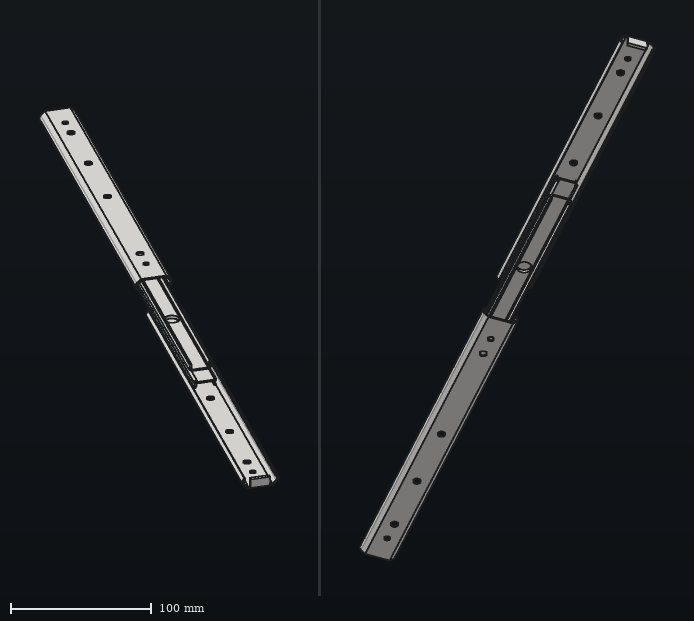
import cadquery as cq
import math


SLIDE_LENGTH = 527.5
SLIDE_WIDTH = 27.0
SLIDE_HEIGHT = 19.0
SHEET = 1.3

RAIL_LENGTH = 250.0
RAIL_WEB_HALF_WIDTH = 9.35
TRACK_Z = 4.1
CURL_RADIUS = 4.0
CURL_START_ANGLE = 35
CURL_END_ANGLE = -52

END_WALL = 2.5
END_WALL_WIDTH = 14.0
END_WALL_BOTTOM = 2.4

SMALL_HOLE = 4.0
LARGE_HOLE = 5.5
SMALL_HOLE_PLACES = [20.0, 230.0]
LARGE_HOLE_PLACES = [35.0, 80.0, 130.0, 214.5]

CHANNEL_SHORT_REACH = 107.0
CHANNEL_LONG_REACH = 120.0
TAB_REACH = 123.0
CHANNEL_WIDTH = 17.0
CHANNEL_WEB_HALF_WIDTH = 6.5
GROOVE_RADIUS = 3.05
GROOVE_WEB_SIDE_ANGLE = 45
GROOVE_BACK_ANGLE = 22
GROOVE_RIM_ANGLE = 37
ACCESS_HOLE = 10.5


def on_circle(center, radius, angle):
    """Point of a circle in the YZ plane, at an angle in degrees from +Y."""
    turn = math.radians(angle)
    return (center[0] + radius * math.cos(turn), center[1] + radius * math.sin(turn))


def mirrored(point):
    return (-point[0], point[1])


def sheet_section(web_edge, web_outer_z, web_inner_z, center, outer_arc, inner_arc):
    """Sheet section, symmetric in Y: a flat web, then on each side a slope and an arc.

    outer_arc and inner_arc give radius, first angle and last angle on the two
    sheet faces. They share a center and a last angle, where the sheet is cut square.
    """

    def arc_points(radius, first, last):
        return [on_circle(center, radius, angle) for angle in (first, (first + last) / 2, last)]

    outer_start, outer_middle, outer_end = arc_points(*outer_arc)
    inner_start, inner_middle, inner_end = arc_points(*inner_arc)

    slope = math.atan2(abs(outer_start[1] - web_outer_z), outer_start[0] - web_edge)
    inner_web_edge = web_edge - SHEET * math.tan(slope / 2)

    return (
        cq.Workplane("YZ")
        .moveTo(-web_edge, web_outer_z)
        .lineTo(web_edge, web_outer_z)
        .lineTo(*outer_start)
        .threePointArc(outer_middle, outer_end)
        .lineTo(*inner_end)
        .threePointArc(inner_middle, inner_start)
        .lineTo(inner_web_edge, web_inner_z)
        .lineTo(-inner_web_edge, web_inner_z)
        .lineTo(*mirrored(inner_start))
        .threePointArc(mirrored(inner_middle), mirrored(inner_end))
        .lineTo(*mirrored(outer_end))
        .threePointArc(mirrored(outer_middle), mirrored(outer_start))
        .close()
    )


def spanning(section, x_start, x_end):
    return section.extrude(x_end - x_start).translate((x_start, 0, 0))


def half_turn(body):
    """The same body at the other end and the other level of the slide."""
    return body.rotate((0, 0, 0), (0, 1, 0), 180)


def upright_holes(x_places, diameter):
    return (
        cq.Workplane("XY", origin=(0, 0, -SLIDE_HEIGHT / 2))
        .pushPoints([(x, 0) for x in x_places])
        .circle(diameter / 2)
        .extrude(SLIDE_HEIGHT)
    )


def outer_rail():
    """Upper rail, open downward, with its closed end at -X."""
    closed_end = -SLIDE_LENGTH / 2
    web_top = SLIDE_HEIGHT / 2
    section = sheet_section(
        web_edge=RAIL_WEB_HALF_WIDTH,
        web_outer_z=web_top,
        web_inner_z=web_top - SHEET,
        center=(SLIDE_WIDTH / 2 - CURL_RADIUS, TRACK_Z),
        outer_arc=(CURL_RADIUS, CURL_START_ANGLE, CURL_END_ANGLE),
        inner_arc=(CURL_RADIUS - SHEET, CURL_START_ANGLE, CURL_END_ANGLE),
    )
    rail = spanning(section, closed_end, closed_end + RAIL_LENGTH)

    wall = cq.Workplane("XY").box(
        END_WALL, END_WALL_WIDTH, web_top - END_WALL_BOTTOM, centered=(False, True, False)
    )
    rail = rail.union(wall.translate((closed_end, 0, END_WALL_BOTTOM)))

    for places, diameter in ((SMALL_HOLE_PLACES, SMALL_HOLE), (LARGE_HOLE_PLACES, LARGE_HOLE)):
        rail = rail.cut(upright_holes([closed_end + place for place in places], diameter))
    return rail


def upper_channel():
    """Upper half of the middle member, open upward, with its tab at -X."""
    rim_angle = 180 - GROOVE_RIM_ANGLE
    groove_edge_offset = GROOVE_RADIUS * math.cos(math.radians(GROOVE_WEB_SIDE_ANGLE))
    section = sheet_section(
        web_edge=CHANNEL_WEB_HALF_WIDTH,
        web_outer_z=0,
        web_inner_z=SHEET,
        center=(CHANNEL_WIDTH / 2 + groove_edge_offset, TRACK_Z),
        outer_arc=(GROOVE_RADIUS, 180 + GROOVE_WEB_SIDE_ANGLE, rim_angle),
        inner_arc=(GROOVE_RADIUS + SHEET, 180 + GROOVE_BACK_ANGLE, rim_angle),
    )
    channel = spanning(section, -CHANNEL_LONG_REACH, CHANNEL_SHORT_REACH)

    tab = cq.Workplane("XY").box(
        TAB_REACH - CHANNEL_SHORT_REACH, 2 * CHANNEL_WEB_HALF_WIDTH, SHEET, centered=(False, True, False)
    )
    return channel.union(tab.translate((-TAB_REACH, 0, 0)))


def middle_member():
    channel = upper_channel()
    member = channel.union(half_turn(channel))
    access_x = SLIDE_LENGTH / 2 - SMALL_HOLE_PLACES[-1]
    return member.cut(upright_holes([-access_x, access_x], ACCESS_HOLE))


upper_rail = outer_rail()
lower_rail = half_turn(upper_rail)
middle = middle_member()

result = cq.Compound.makeCompound([upper_rail.val(), lower_rail.val(), middle.val()])